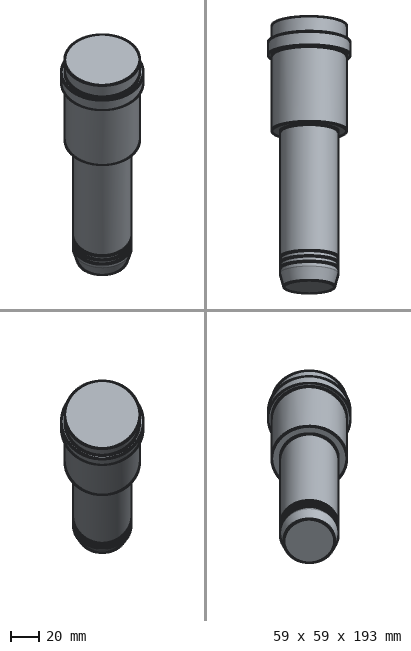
import cadquery as cq
import math

total_length = 193.0
stem_length = 115.0
collar_height = 10.0
head_height = 12.0

stem_diameter = 42.0
sleeve_diameter = 54.0
collar_diameter = 59.0

sleeve_chamfer = 0.5
collar_top_chamfer = 0.5
collar_bottom_chamfer = 0.2

groove_width = 1.0
groove_floor_width = groove_width / 2
groove_depth = 0.5

oil_groove_count = 3
oil_groove_first = 13.5
oil_groove_pitch = 4.0

tip_height = 10.0
tip_angle = 15.0
tip_chamfer = 0.5

tip_end_diameter = stem_diameter - 2 * tip_height * math.tan(math.radians(tip_angle))
sleeve_height = total_length - stem_length
collar_top = total_length - head_height
collar_bottom = collar_top - collar_height


def cylinder(diameter, bottom, height):
    """Upright cylinder about the Z axis."""
    return cq.Workplane("XY").workplane(offset=bottom).circle(diameter / 2).extrude(height)


def groove_ring(diameter, middle):
    """Ring that cuts a tapered groove into a cylinder of the given diameter."""
    outer_radius = diameter / 2
    floor_radius = outer_radius - groove_depth
    return (
        cq.Workplane("XZ")
        .moveTo(outer_radius, middle - groove_width / 2)
        .lineTo(floor_radius, middle - groove_floor_width / 2)
        .lineTo(floor_radius, middle + groove_floor_width / 2)
        .lineTo(outer_radius, middle + groove_width / 2)
        .close()
        .revolve(360, (0, 0, 0), (0, 1, 0))
    )


def make_tip():
    """Cone that widens from the lower end to the stem diameter."""
    tip = (
        cq.Workplane("XY")
        .circle(tip_end_diameter / 2)
        .workplane(offset=tip_height)
        .circle(stem_diameter / 2)
        .loft()
    )
    return tip.faces("<Z").edges().chamfer(tip_chamfer)


def make_stem():
    """Stem above the tip, with oil grooves and a relief groove under the sleeve."""
    stem = cylinder(stem_diameter, tip_height, stem_length - tip_height)
    for index in range(oil_groove_count):
        stem = stem.cut(groove_ring(stem_diameter, oil_groove_first + index * oil_groove_pitch))
    return stem.cut(groove_ring(stem_diameter, stem_length - groove_width / 2))


def make_sleeve():
    """Thick upper body, relieved just above and below the collar."""
    sleeve = cylinder(sleeve_diameter, stem_length, sleeve_height)
    sleeve = sleeve.faces("<Z or >Z").edges().chamfer(sleeve_chamfer)
    for middle in (collar_top + groove_width / 2, collar_bottom - groove_width / 2):
        sleeve = sleeve.cut(groove_ring(sleeve_diameter, middle))
    return sleeve


def make_collar():
    """Locating collar with broken edges."""
    collar = cylinder(collar_diameter, collar_bottom, collar_height)
    collar = collar.faces(">Z").edges().chamfer(collar_top_chamfer)
    return collar.faces("<Z").edges().chamfer(collar_bottom_chamfer)


result = make_tip().union(make_stem()).union(make_sleeve()).union(make_collar())